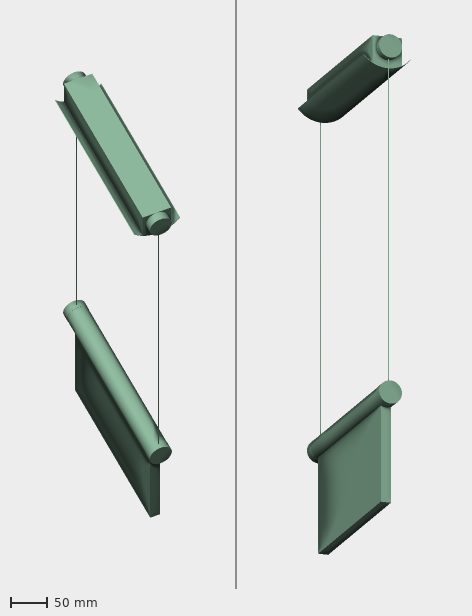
import cadquery as cq

total_height = 671.5
total_length = 286.0
cap_length = 13.0
cap_diameter = 33.5
cap_inset = 0.35
roller_diameter = 33.0
housing_width = 43.0
cover_radius = 45.5
cover_width = 70.5
cover_thickness = 1.0
cord_diameter = 1.5
cord_spacing = 270.5
roller_drop = 518.0
panel_length = 248.5
panel_thickness = 15.0

top_z = total_height / 2
bottom_z = -total_height / 2
body_length = total_length - 2 * cap_length
upper_axis_z = top_z - cap_inset - cap_diameter / 2
roller_z = top_z - roller_drop


def x_cylinder(diameter, length, z):
    """Cylinder along X, centred on X = 0 at height z."""
    plane = cq.Workplane("YZ", origin=(-length / 2, 0, z))
    return plane.circle(diameter / 2).extrude(length)


def centred_box(length, width, low_z, high_z):
    """Box centred in X and Y between two heights."""
    base = cq.Workplane("XY", origin=(0, 0, low_z))
    return base.rect(length, width).extrude(high_z - low_z)


def make_housing():
    """Square-topped housing whose underside follows the cover."""
    block = centred_box(body_length, housing_width, top_z - cover_radius, top_z)
    return block.intersect(x_cylinder(2 * cover_radius, body_length, top_z))


def make_cover():
    """Thin curved sheet, wider than the housing, with its axis on the top face."""
    outer = x_cylinder(2 * cover_radius, body_length, top_z)
    inner = x_cylinder(2 * (cover_radius - cover_thickness), body_length, top_z)
    lip_z = top_z - (cover_radius**2 - (cover_width / 2) ** 2) ** 0.5
    below_lips = centred_box(body_length, cover_width, top_z - cover_radius, lip_z)
    return outer.cut(inner).intersect(below_lips)


def make_caps(z):
    """Pair of round end caps on one axis."""
    both = x_cylinder(cap_diameter, total_length, z)
    return both.cut(x_cylinder(2 * cap_diameter, body_length, z))


def make_cords():
    """Two vertical cords joining the upper and lower end caps."""
    start = cq.Workplane("XY", origin=(0, 0, roller_z))
    places = [(-cord_spacing / 2, 0), (cord_spacing / 2, 0)]
    return start.pushPoints(places).circle(cord_diameter / 2).extrude(upper_axis_z - roller_z)


def make_panel():
    """Flat panel hanging from the roller."""
    return centred_box(panel_length, panel_thickness, bottom_z, roller_z)


result = make_housing().union(make_cover())
result = result.union(make_caps(upper_axis_z))
result = result.union(x_cylinder(roller_diameter, body_length, roller_z))
result = result.union(make_caps(roller_z))
result = result.union(make_cords())
result = result.union(make_panel())